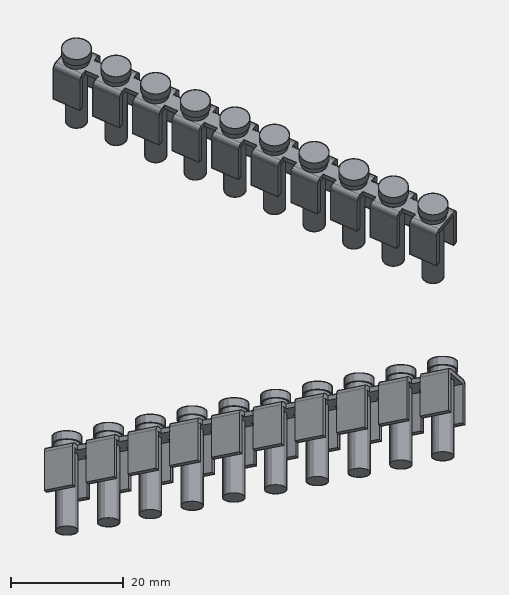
import cadquery as cq

clamp_count = 10
total_length = 79.4
clamp_width = 5.55
pitch = (total_length - clamp_width) / (clamp_count - 1)

clamp_depth = 6.8
clamp_height = 8.5
sheet_thickness = 0.95
bend_radius = sheet_thickness
link_depth = 3.0

head_diameter = 5.3
head_height = 1.6
collar_diameter = 4.8
collar_height = 1.2
shank_diameter = 4.0
total_height = 18.3
shank_length = total_height - head_height - collar_height


def make_clamp():
    """Inverted U of bent sheet, rounded outside and sharp inside."""
    body = (
        cq.Workplane("XY")
        .box(clamp_width, clamp_depth, clamp_height, centered=(True, True, False))
        .translate((0, 0, -clamp_height))
        .edges("|X and >Z")
        .fillet(bend_radius)
    )
    channel = (
        cq.Workplane("XY")
        .workplane(offset=-clamp_height)
        .rect(clamp_width, clamp_depth - 2 * sheet_thickness)
        .extrude(clamp_height - sheet_thickness)
    )
    return body.cut(channel)


def make_screw():
    """Shank below the clamp top, then a collar and a wider plain head above it."""
    return (
        cq.Workplane("XY")
        .workplane(offset=-shank_length)
        .circle(shank_diameter / 2)
        .extrude(shank_length)
        .faces(">Z")
        .workplane()
        .circle(collar_diameter / 2)
        .extrude(collar_height)
        .faces(">Z")
        .workplane()
        .circle(head_diameter / 2)
        .extrude(head_height)
    )


def make_strip():
    """Flat strip along the row that links the clamp tops."""
    return (
        cq.Workplane("XY")
        .workplane(offset=-sheet_thickness)
        .rect(total_length, link_depth)
        .extrude(sheet_thickness)
    )


clamp_with_screw = make_clamp().union(make_screw())
first_clamp_x = (clamp_width - total_length) / 2

result = make_strip()
for index in range(clamp_count):
    clamp_x = first_clamp_x + index * pitch
    result = result.union(clamp_with_screw.translate((clamp_x, 0, 0)))